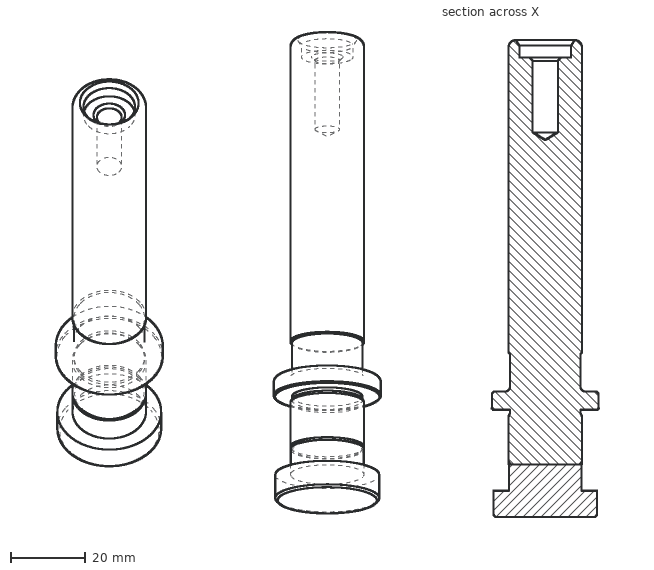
import cadquery as cq
import math

head_radius = 14.0
head_height = 7.2
head_chamfer = 0.6
boss_radius = 9.9
plug_height = 14.3

total_height = 129.0
post_radius = 20.0 / 2
end_chamfer = 0.6
post_tip_fillet = 2.0

flange_radius = 29.0 / 2
flange_bottom = 29.0
flange_top = 34.0
flange_top_round = 1.0
flange_bottom_chamfer = 0.4
neck_radius = 9.5
neck_bottom = 27.3
neck_top = 44.5
lower_neck_taper = 0.8
upper_neck_fillet = 1.3
shoulder_chamfer = 0.4

counterbore_radius = 7.0
counterbore_depth = 4.8
mouth_chamfer_depth = 1.5
hole_radius = 3.4
hole_chamfer_radius = 4.3
hole_chamfer_depth = 0.9
hole_depth = 25.0
drill_point_half_angle = 59


def revolve_about_z(profile):
    """Turn a closed (radius, height) profile about the Z axis."""
    return profile.close().revolve(360, (0, 0, 0), (0, 1, 0))


def make_plug():
    return revolve_about_z(
        cq.Workplane("XZ")
        .lineTo(head_radius - head_chamfer, 0)
        .lineTo(head_radius, head_chamfer)
        .lineTo(head_radius, head_height)
        .lineTo(boss_radius, head_height)
        .lineTo(boss_radius, plug_height)
        .lineTo(0, plug_height)
    )


def make_post_outside():
    return revolve_about_z(
        cq.Workplane("XZ")
        .moveTo(0, plug_height)
        .lineTo(post_radius - end_chamfer, plug_height)
        .lineTo(post_radius, plug_height + end_chamfer)
        .lineTo(post_radius, neck_bottom)
        .lineTo(neck_radius, neck_bottom + lower_neck_taper)
        .lineTo(neck_radius, flange_bottom)
        .lineTo(flange_radius - flange_bottom_chamfer, flange_bottom)
        .lineTo(flange_radius, flange_bottom + flange_bottom_chamfer)
        .lineTo(flange_radius, flange_top - flange_top_round)
        .radiusArc((flange_radius - flange_top_round, flange_top), -flange_top_round)
        .lineTo(neck_radius + upper_neck_fillet, flange_top)
        .radiusArc((neck_radius, flange_top + upper_neck_fillet), upper_neck_fillet)
        .lineTo(neck_radius, neck_top - shoulder_chamfer)
        .lineTo(post_radius, neck_top)
        .lineTo(post_radius, total_height - post_tip_fillet)
        .radiusArc((post_radius - post_tip_fillet, total_height), -post_tip_fillet)
        .lineTo(0, total_height)
    )


def make_hole():
    mouth_radius = post_radius - post_tip_fillet
    counterbore_floor = total_height - counterbore_depth
    hole_bottom = total_height - hole_depth
    drill_point_depth = hole_radius / math.tan(math.radians(drill_point_half_angle))
    return revolve_about_z(
        cq.Workplane("XZ")
        .moveTo(0, total_height)
        .lineTo(mouth_radius, total_height)
        .lineTo(counterbore_radius, total_height - mouth_chamfer_depth)
        .lineTo(counterbore_radius, counterbore_floor)
        .lineTo(hole_chamfer_radius, counterbore_floor)
        .lineTo(hole_radius, counterbore_floor - hole_chamfer_depth)
        .lineTo(hole_radius, hole_bottom)
        .lineTo(0, hole_bottom - drill_point_depth)
    )


plug = make_plug()
post = make_post_outside().cut(make_hole())

result = cq.Compound.makeCompound([plug.val(), post.val()])